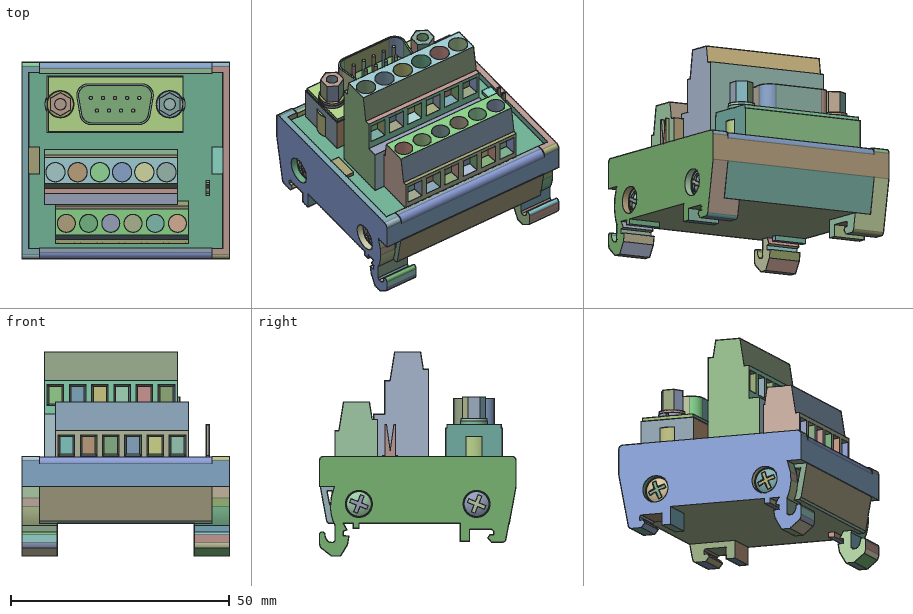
import cadquery as cq
import math


LENGTH = 47.5
WIDTH = 45.0
HALF_L = LENGTH / 2
HALF_W = WIDTH / 2
RIM_Z = 22.83
CENTRE_DROP = 0.12
BELLY_Z = 7.5
SKIRT_Z = 15.9
BRACKET_L = 4.0
HOOK_L = 8.1
RIM_RADIUS = 1.0
CENTRE_RADIUS = 1.5
CENTRE_L = LENGTH - 2 * BRACKET_L

RIM_T_X = 1.5
RIM_T_Y = 2.4
STRIP_T = 2.55
FLOOR_Z = 21.35
BOARD_GAP, BOARD_T = 0.15, 1.6
CLIP_X, CLIP_Y, CLIP_H = 2.5, 6.1, 0.8

SCREW_Y = 13.45
SCREW_Z = 11.93
SCREW_RECESS_R = 3.08
SCREW_RECESS_DEPTH = 1.6
SCREW_HEAD_R = 2.85
SCREW_DOME_H = 1.1
CROSS_SPAN = 4.2
CROSS_W = 0.9
CROSS_DEPTH = 0.7
CROSS_ANGLE = 22.0

WAYS = 6
PITCH = 5.08
BLOCK_L = WAYS * PITCH
REAR_X, FRONT_X = -3.38, -0.88
REAR_BACK_Y, FRONT_BACK_Y = 2.5, -9.2
REAR_W, FRONT_W = 10.05, 9.75
REAR_TOP_Z, FRONT_TOP_Z = 46.7, 35.25
BACK_STEP_DROP, FRONT_STEP_DROP = 3.95, 6.55
TOP_SETBACK, TOP_W = 1.83, 5.97
BACK_SLOPE_RUN, FRONT_SLOPE_RUN = 0.63, 1.05
WIRE_SCREW_DEPTH = 6.0
WIRE_SCREW_SHIFT = 0.35
REAR_SCREW_D, FRONT_SCREW_D = 4.4, 4.1
WINDOW_W, WINDOW_H = 3.8, 4.8
WINDOW_DEPTH = 2.4
WINDOW_INSET = 0.4
WINDOW_DROP = 9.9
BASE_FRONT_Y = -10.1
BASE_TOP_Z = 32.5

DSUB_X, DSUB_Y = -2.45, 12.87
DSUB_L, DSUB_W = 31.0, 13.0
DSUB_TOP_Z = 29.35
FLANGE_L, FLANGE_W, FLANGE_T = 30.75, 12.45, 0.8
FLANGE_Z = DSUB_TOP_Z + FLANGE_T
SHELL_TOP_Z = 36.05
SHELL_W = 9.3
SHELL_TOP_L = 18.5
SHELL_SLOPE = 10.0
SHELL_R = 2.6
SHELL_T = 0.4
PIN_PITCH = 2.77
PIN_ROWS = ((5, 1.45), (4, -1.45))
PIN_D = 0.75
PIN_TOP_Z = SHELL_TOP_Z
JACK_SPACING = 25.0
BOSS_R, BOSS_TOP_Z = 3.5, 27.4
LOCK_WASHER_R, LOCK_WASHER_T, LOCK_SPLIT = 3.1, 0.75, 0.6
WASHER_R, WASHER_T = 3.0, 0.6
NUT_FLATS = 4.6
NUT_TOP_Z = 36.4
NUT_BORE_D = 2.6
NUT_BORE_DEPTH = 4.0

FORK_X, FORK_Y = 18.75, -6.3
FORK_T = 0.7
FORK_BASE_W, FORK_BASE_Z = 3.45, 23.05
FORK_W, FORK_TOP_Z = 2.45, 30.1
FORK_NOTCH_W, FORK_NOTCH_DEPTH = 1.7, 6.0


def box(length, width, z_low, z_high, x=0.0, y=0.0):
    """Block centred on (x, y) and spanning z_low to z_high."""
    height = z_high - z_low
    return cq.Workplane("XY").box(length, width, height, centered=(True, True, False)).translate((x, y, z_low))


def cylinder(radius, z_low, z_high, x, y):
    return cq.Workplane("XY", origin=(x, y, z_low)).circle(radius).extrude(z_high - z_low)


def both_ends(shape):
    """The shape at the -X end together with its mirror image at the +X end."""
    return shape.union(shape.mirror("YZ"))


def side_profile(x_start):
    return cq.Workplane("YZ", origin=(x_start, 0, 0))



def bracket_section(length):
    """End bracket from the -X end: rear foot, rail stops and sprung front hook."""
    return (
        side_profile(-HALF_L)
        .moveTo(HALF_W - RIM_RADIUS, RIM_Z)
        .radiusArc((HALF_W, RIM_Z - RIM_RADIUS), RIM_RADIUS)
        .lineTo(HALF_W, SKIRT_Z)
        .lineTo(20.15, 3.8)
        .radiusArc((19.4, 3.15), 0.8)
        .lineTo(16.9, 3.15)
        .lineTo(16.0, 4.2)
        .lineTo(16.5, 4.9)
        .lineTo(17.35, 4.9)
        .lineTo(17.35, 5.7)
        .lineTo(16.95, 6.1)
        .lineTo(11.85, 6.1)
        .lineTo(11.85, 3.35)
        .lineTo(9.7, 3.35)
        .lineTo(9.7, BELLY_Z)
        .lineTo(-13.4, BELLY_Z)
        .lineTo(-13.4, 6.35)
        .lineTo(-14.8, 6.35)
        .lineTo(-14.8, BELLY_Z)
        .lineTo(-17.0, BELLY_Z)
        .lineTo(-16.15, 6.0)
        .lineTo(-17.0, 5.7)
        .lineTo(-17.0, 4.7)
        .lineTo(-15.7, 4.6)
        .lineTo(-16.05, 2.65)
        .lineTo(-17.65, 0.0)
        .lineTo(-19.7, 0.0)
        .lineTo(-22.15, 1.9)
        .threePointArc((-22.41, 2.474), (-HALF_W, 3.1))
        .lineTo(-HALF_W, 4.9)
        .threePointArc((-21.85, 5.55), (-21.2, 4.95))
        .threePointArc((-20.8, 3.75), (-20.2, 3.2))
        .lineTo(-19.3, 3.15)
        .lineTo(-18.95, 3.55)
        .lineTo(-18.95, 7.05)
        .threePointArc((-19.65, 9.0), (-19.95, 11.4))
        .lineTo(-19.8, 13.3)
        .lineTo(-19.05, SKIRT_Z)
        .lineTo(-HALF_W, SKIRT_Z)
        .lineTo(-HALF_W, RIM_Z - RIM_RADIUS)
        .radiusArc((-HALF_W + RIM_RADIUS, RIM_Z), RIM_RADIUS)
        .close()
        .extrude(length)
    )


def centre_section():
    """Middle length of the carrier, with sloping skirts front and rear."""
    top = RIM_Z - CENTRE_DROP
    skirt_step = 0.2
    rear_belly_y = 20.95
    corner_y = 20.85
    corner_run, corner_rise = 0.4, 0.5
    body = (
        side_profile(-CENTRE_L / 2)
        .moveTo(HALF_W - CENTRE_RADIUS, top)
        .radiusArc((HALF_W, top - CENTRE_RADIUS), CENTRE_RADIUS)
        .lineTo(HALF_W, SKIRT_Z)
        .lineTo(rear_belly_y, BELLY_Z)
        .lineTo(-corner_y + corner_run, BELLY_Z)
        .lineTo(-corner_y, BELLY_Z + corner_rise)
        .lineTo(-HALF_W + skirt_step, SKIRT_Z)
        .lineTo(-HALF_W, SKIRT_Z)
        .lineTo(-HALF_W, top - CENTRE_RADIUS)
        .radiusArc((-HALF_W + CENTRE_RADIUS, top), CENTRE_RADIUS)
        .close()
        .extrude(CENTRE_L)
    )
    skirt_gap = (
        side_profile(-CENTRE_L / 2)
        .polyline([(-19.5, 14.9), (-20.75, 14.9), (-20.1, 11.7), (-19.95, 11.7), (-19.8, 13.3)])
        .close()
        .extrude(CENTRE_L)
    )
    return body.cut(skirt_gap)


def carrier():
    hook_overlap = 1.0
    hooks = bracket_section(HOOK_L).intersect(box(LENGTH, WIDTH, 0.0, BELLY_Z + hook_overlap))
    body = centre_section().union(both_ends(bracket_section(BRACKET_L).union(hooks)))
    recess = box(LENGTH - 2 * RIM_T_X, WIDTH - 2 * RIM_T_Y, FLOOR_Z, RIM_Z)
    strip_zone = box(CENTRE_L, WIDTH, FLOOR_Z, RIM_Z)
    strip_gap = box(CENTRE_L, WIDTH - 2 * STRIP_T, FLOOR_Z, RIM_Z)
    body = body.cut(recess.cut(strip_zone.cut(strip_gap)))
    slit_w = WIDTH - 2 * STRIP_T
    slit_x = -HALF_L + RIM_T_X + BOARD_GAP / 2
    slit = box(BOARD_GAP, slit_w, FLOOR_Z - BOARD_T, FLOOR_Z, slit_x)
    body = body.cut(both_ends(slit))
    clip_x = -HALF_L + RIM_T_X + CLIP_X / 2
    return body.union(both_ends(box(CLIP_X, CLIP_Y, FLOOR_Z, FLOOR_Z + CLIP_H, clip_x)))



def side_screw(y):
    """Domed cross-head screw standing in its recess on the -X side."""
    seat_x = -HALF_L + SCREW_RECESS_DEPTH
    sphere_r = (SCREW_HEAD_R**2 + SCREW_DOME_H**2) / (2 * SCREW_DOME_H)
    sphere_x = seat_x - SCREW_DOME_H + sphere_r
    head = (
        cq.Workplane("YZ", origin=(seat_x, y, SCREW_Z))
        .circle(SCREW_HEAD_R)
        .extrude(-SCREW_DOME_H)
        .intersect(cq.Workplane("XY").sphere(sphere_r).translate((sphere_x, y, SCREW_Z)))
    )
    cross = (
        cq.Workplane("YZ", origin=(seat_x - SCREW_DOME_H, y, SCREW_Z))
        .transformed(rotate=(0, 0, -CROSS_ANGLE))
        .rect(CROSS_SPAN, CROSS_W)
        .extrude(CROSS_DEPTH)
    )
    return head.cut(cross).cut(cross.rotate((0, y, SCREW_Z), (1, y, SCREW_Z), 90))


def add_side_screws(body):
    for y in (-SCREW_Y, SCREW_Y):
        recess = (
            cq.Workplane("YZ", origin=(-HALF_L, y, SCREW_Z))
            .circle(SCREW_RECESS_R)
            .extrude(SCREW_RECESS_DEPTH)
        )
        body = body.cut(both_ends(recess)).union(both_ends(side_screw(y)))
    return body



def terminal_block(x, back_y, width, top_z, screw_d):
    """Six-way block with clamping-screw holes on top and wire windows in front."""
    front_y = back_y - width
    back_step_z = top_z - BACK_STEP_DROP
    front_step_z = top_z - FRONT_STEP_DROP
    top_back_y = back_y - TOP_SETBACK
    top_front_y = top_back_y - TOP_W
    block = (
        side_profile(x - BLOCK_L / 2)
        .moveTo(back_y, FLOOR_Z)
        .lineTo(back_y, back_step_z)
        .lineTo(top_back_y + BACK_SLOPE_RUN, back_step_z)
        .lineTo(top_back_y, top_z)
        .lineTo(top_front_y, top_z)
        .lineTo(top_front_y - FRONT_SLOPE_RUN, front_step_z)
        .lineTo(front_y, front_step_z)
        .lineTo(front_y, FLOOR_Z)
        .close()
        .extrude(BLOCK_L)
    )
    screw_y = (top_back_y + top_front_y) / 2 - WIRE_SCREW_SHIFT
    window_taper = math.degrees(math.atan(WINDOW_INSET / WINDOW_DEPTH))
    for way in range(WAYS):
        way_x = x + (way - (WAYS - 1) / 2) * PITCH
        block = block.cut(cylinder(screw_d / 2, top_z - WIRE_SCREW_DEPTH, top_z, way_x, screw_y))
        window = (
            cq.Workplane("XZ", origin=(way_x, front_y, top_z - WINDOW_DROP))
            .rect(WINDOW_W, WINDOW_H)
            .extrude(-WINDOW_DEPTH, taper=window_taper)
        )
        block = block.cut(window)
    return block


def rear_base():
    """Raised base in front of the rear block."""
    back_y = REAR_BACK_Y - REAR_W / 2
    return box(BLOCK_L, back_y - BASE_FRONT_Y, FLOOR_Z, BASE_TOP_Z, REAR_X, (back_y + BASE_FRONT_Y) / 2)



def shell_prism(inset, z_low, z_high):
    """D-shaped prism, drawn in by the given inset."""
    slope = math.radians(SHELL_SLOPE)
    half_w = SHELL_W / 2 - inset
    wide = SHELL_TOP_L / 2 - inset / math.cos(slope) - inset * math.tan(slope)
    narrow = wide - 2 * half_w * math.tan(slope)
    return (
        cq.Workplane("XY", origin=(DSUB_X, DSUB_Y, z_low))
        .polyline([(-wide, half_w), (wide, half_w), (narrow, -half_w), (-narrow, -half_w)])
        .close()
        .extrude(z_high - z_low)
        .edges("|Z")
        .fillet(SHELL_R - inset)
    )


def jack_screw(x):
    """Split lock washer, flat washer and bored hexagon standing on the flange."""
    washer_z = FLANGE_Z + LOCK_WASHER_T
    nut_z = washer_z + WASHER_T
    lock = cylinder(LOCK_WASHER_R, FLANGE_Z, washer_z, x, DSUB_Y)
    split = box(LOCK_WASHER_R, LOCK_SPLIT, FLANGE_Z, washer_z, x - LOCK_WASHER_R, DSUB_Y)
    washer = cylinder(WASHER_R, washer_z, nut_z, x, DSUB_Y)
    corner_d = NUT_FLATS / math.cos(math.pi / 6)
    nut = (
        cq.Workplane("XY", origin=(x, DSUB_Y, nut_z))
        .transformed(rotate=(0, 0, 30))
        .polygon(6, corner_d)
        .extrude(NUT_TOP_Z - nut_z)
    )
    bore = cylinder(NUT_BORE_D / 2, NUT_TOP_Z - NUT_BORE_DEPTH, NUT_TOP_Z, x, DSUB_Y)
    return lock.cut(split).union(washer).union(nut).cut(bore)


def dsub_connector():
    part = box(DSUB_L, DSUB_W, FLOOR_Z, DSUB_TOP_Z, DSUB_X, DSUB_Y)
    flange_x = DSUB_X + (DSUB_L - FLANGE_L) / 2
    part = part.union(box(FLANGE_L, FLANGE_W, DSUB_TOP_Z, FLANGE_Z, flange_x, DSUB_Y))
    shell = shell_prism(0.0, FLANGE_Z, SHELL_TOP_Z).cut(shell_prism(SHELL_T, FLANGE_Z, SHELL_TOP_Z))
    part = part.union(shell)
    for count, offset in PIN_ROWS:
        for i in range(count):
            pin_x = DSUB_X + (i - (count - 1) / 2) * PIN_PITCH
            part = part.union(cylinder(PIN_D / 2, FLANGE_Z, PIN_TOP_Z, pin_x, DSUB_Y + offset))
    for side in (-1, 1):
        jack_x = DSUB_X + side * JACK_SPACING / 2
        part = part.union(cylinder(BOSS_R, FLOOR_Z, BOSS_TOP_Z, jack_x, DSUB_Y))
        part = part.union(jack_screw(jack_x))
    return part



def fork_terminal():
    """Thin upright blade with a V notch, on a wider foot."""
    foot = box(FORK_T, FORK_BASE_W, FLOOR_Z, FORK_BASE_Z, FORK_X, FORK_Y)
    blade = box(FORK_T, FORK_W, FORK_BASE_Z, FORK_TOP_Z, FORK_X, FORK_Y)
    half_notch = FORK_NOTCH_W / 2
    notch = (
        cq.Workplane("YZ", origin=(FORK_X - FORK_T / 2, FORK_Y, FORK_TOP_Z))
        .polyline([(-half_notch, 0), (half_notch, 0), (0, -FORK_NOTCH_DEPTH)])
        .close()
        .extrude(FORK_T)
    )
    return foot.union(blade).cut(notch)


result = (
    add_side_screws(carrier())
    .union(rear_base())
    .union(terminal_block(REAR_X, REAR_BACK_Y, REAR_W, REAR_TOP_Z, REAR_SCREW_D))
    .union(terminal_block(FRONT_X, FRONT_BACK_Y, FRONT_W, FRONT_TOP_Z, FRONT_SCREW_D))
    .union(dsub_connector())
    .union(fork_terminal())
)